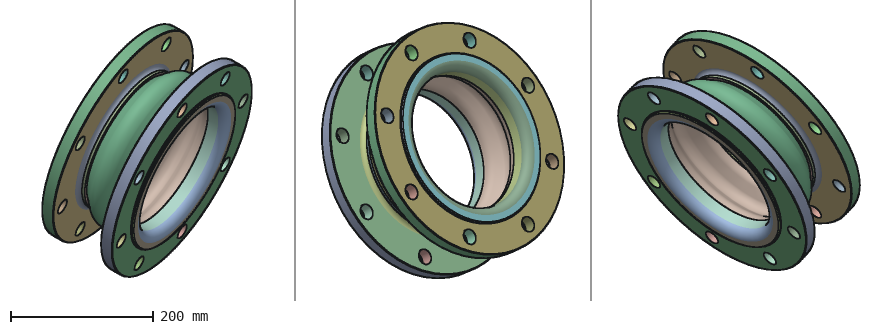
import cadquery as cq
import math


overall_length = 130.0
end_x = overall_length / 2
raised_face_height = 4.0
flange_thickness = 20.0
flange_front_x = end_x - raised_face_height
flange_back_x = flange_front_x - flange_thickness
joint_x = 34.0
cuff_inner_x = 29.2

flange_radius = 340 / 2
raised_face_radius = 250.0 / 2
bore_radius = 200.0 / 2
cuff_radius = 220.0 / 2
mouth_radius = 226.0 / 2
root_radius = 210.0 / 2
crest_radius = 250.0 / 2

rim_chamfer = 1.0
raised_face_chamfer = 1.87
mouth_rounding = mouth_radius - bore_radius
neck_rounding = flange_back_x - joint_x

bolt_count = 8
bolt_hole_diameter = 22.0
bolt_circle_radius = 295.0 / 2

wall = root_radius - bore_radius
flank_x = 14.3
flank_radius = 119.5
flank_shift = wall * math.sqrt(0.5)


def revolve_about_x(outline):
    """Turn a closed outline of (x, radius) points through a full circle about X."""
    return outline.close().revolve(360, (0, 0, 0), (1, 0, 0))


def arc_middle(center_x, center_r, radius, x_sign, r_sign):
    """Midpoint of a quarter arc in the quadrant given by the two signs."""
    offset = radius * math.sqrt(0.5)
    return (center_x + x_sign * offset, center_r + r_sign * offset)


def make_flange():
    """Flange on the -X side: raised face, rounded mouth and a rounded neck."""
    neck_middle = arc_middle(-joint_x, cuff_radius + neck_rounding, neck_rounding, -1, -1)
    mouth_end_x = end_x - mouth_rounding
    mouth_middle = arc_middle(-mouth_end_x, mouth_radius, mouth_rounding, -1, -1)
    outline = (
        cq.Workplane("XY")
        .moveTo(-joint_x, bore_radius)
        .lineTo(-joint_x, cuff_radius)
        .threePointArc(neck_middle, (-flange_back_x, cuff_radius + neck_rounding))
        .lineTo(-flange_back_x, flange_radius - rim_chamfer)
        .lineTo(-flange_back_x - rim_chamfer, flange_radius)
        .lineTo(-flange_front_x + rim_chamfer, flange_radius)
        .lineTo(-flange_front_x, flange_radius - rim_chamfer)
        .lineTo(-flange_front_x, raised_face_radius)
        .lineTo(-end_x + raised_face_chamfer, raised_face_radius)
        .lineTo(-end_x, raised_face_radius - raised_face_chamfer)
        .lineTo(-end_x, mouth_radius)
        .threePointArc(mouth_middle, (-mouth_end_x, bore_radius))
    )
    return revolve_about_x(outline).cut(make_bolt_holes())


def make_bolt_holes():
    """Cylinders on the bolt circle that pass through the flange plate."""
    return (
        cq.Workplane("YZ", origin=(-end_x, 0, 0))
        .polarArray(bolt_circle_radius, 0, 360, bolt_count)
        .circle(bolt_hole_diameter / 2)
        .extrude(end_x - joint_x)
    )


def wave_points(root_x, root_r, side_x, side_r, crest_r):
    """Points of one wave from the -X root over the crest to the +X root."""
    return [
        (-root_x, root_r),
        (-side_x, side_r),
        (0, crest_r),
        (side_x, side_r),
        (root_x, root_r),
    ]


def make_bellows():
    """Thin-walled wave with a thicker cuff at each end."""
    outer_wave = wave_points(cuff_inner_x, root_radius, flank_x, flank_radius, crest_radius)
    inner_wave = wave_points(
        joint_x,
        bore_radius,
        flank_x - flank_shift,
        flank_radius - flank_shift,
        crest_radius - wall,
    )
    rising = (1, 1)
    level = (1, 0)
    falling = (1, -1)
    outer_directions = [rising, rising, level, falling, falling]
    inner_directions = [level, rising, level, falling, level]
    reversed_directions = [(-x, -r) for x, r in reversed(inner_directions)]
    outline = (
        cq.Workplane("XY")
        .moveTo(-joint_x, bore_radius)
        .lineTo(-joint_x, cuff_radius)
        .lineTo(-cuff_inner_x, cuff_radius)
        .lineTo(-cuff_inner_x, root_radius)
        .spline(outer_wave, tangents=outer_directions)
        .lineTo(cuff_inner_x, cuff_radius)
        .lineTo(joint_x, cuff_radius)
        .lineTo(joint_x, bore_radius)
        .spline(inner_wave[::-1], tangents=reversed_directions)
    )
    return revolve_about_x(outline)


bellows = make_bellows()

flanges = []
for turn in (0, 180):
    flange = make_flange().rotate((0, 0, 0), (0, 0, 1), turn)
    flanges.append(flange.val())

result = cq.Compound.makeCompound([bellows.val(), *flanges])